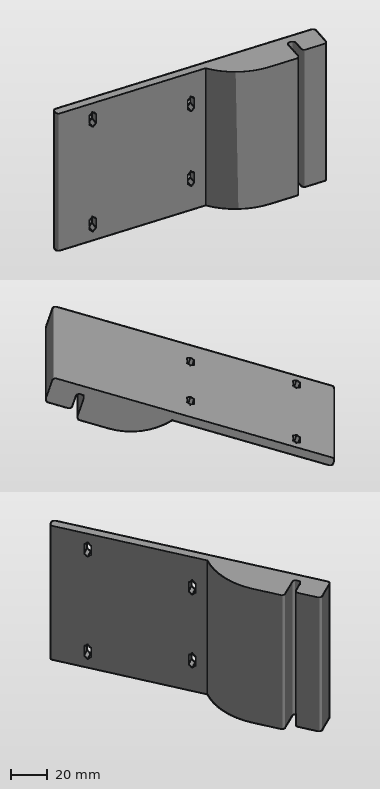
import cadquery as cq
import math

length = 160.0
depth = 20.0
height = 92.0

plate_thickness = 5.0
hook_depth = 15.0
hook_length = 15.0
groove_width = 4.5
belly_end = 69.1
belly_radius = 40.0
edge_radius = 2.0

slot_length = 10.0
slot_width = 4.0
outer_slot_y = 22.0
outer_slot_spacing = 70.0
inner_slot_y = 82.0
inner_slot_spacing = 50.0


def make_body():
    """Extrude the plate, hook and curved belly as one profile."""
    hook_y = length - hook_length
    belly_top = hook_y - groove_width
    belly_bottom = length - belly_end

    arc_center_x = depth - belly_radius
    end_angle = math.acos((plate_thickness - arc_center_x) / belly_radius)
    arc_start_y = belly_bottom + belly_radius * math.sin(end_angle)
    arc_middle = (
        arc_center_x + belly_radius * math.cos(end_angle / 2),
        arc_start_y - belly_radius * math.sin(end_angle / 2),
    )

    body = (
        cq.Workplane("XY")
        .moveTo(0, 0)
        .lineTo(plate_thickness, 0)
        .lineTo(plate_thickness, belly_bottom)
        .threePointArc(arc_middle, (depth, arc_start_y))
        .lineTo(depth, belly_top)
        .lineTo(plate_thickness, belly_top)
        .lineTo(plate_thickness, hook_y)
        .lineTo(hook_depth, hook_y)
        .lineTo(hook_depth, length)
        .lineTo(0, length)
        .close()
        .extrude(height)
    )

    rounded_corners = [
        (0, 0),
        (plate_thickness, 0),
        (depth, belly_top),
        (plate_thickness, belly_top),
        (plate_thickness, hook_y),
        (hook_depth, hook_y),
        (hook_depth, length),
        (0, length),
    ]
    for x, y in rounded_corners:
        corner = cq.selectors.NearestToPointSelector((x, y, height / 2))
        body = body.edges("|Z").edges(corner).fillet(edge_radius)
    return body


def make_slot(y, z):
    """One upright slot with pointed, 45 degree ends."""
    half_width = slot_width / 2
    half_length = slot_length / 2
    shoulder = half_length - half_width
    outline = [
        (0, half_length),
        (half_width, shoulder),
        (half_width, -shoulder),
        (0, -half_length),
        (-half_width, -shoulder),
        (-half_width, shoulder),
    ]
    return (
        cq.Workplane("YZ")
        .center(y, z)
        .polyline(outline)
        .close()
        .extrude(plate_thickness)
    )


result = make_body()
for slot_y, slot_spacing in [
    (outer_slot_y, outer_slot_spacing),
    (inner_slot_y, inner_slot_spacing),
]:
    for side in (-1, 1):
        result = result.cut(make_slot(slot_y, height / 2 + side * slot_spacing / 2))